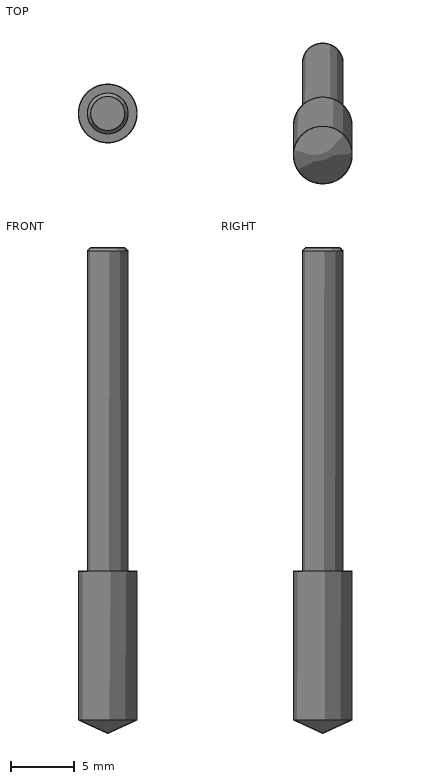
import cadquery as cq

total_length = 38.1
head_diameter = 4.6
head_top = 12.73
point_height = 1.05
shank_diameter = 3.2
shank_chamfer = 0.25


def make_head():
    """Cylindrical head with its conical point down at the origin."""
    radius = head_diameter / 2
    return (
        cq.Workplane("XZ")
        .lineTo(radius, point_height)
        .lineTo(radius, head_top)
        .lineTo(0, head_top)
        .close()
        .revolve(360, (0, 0), (0, 1))
    )


def make_shank():
    """Slim round shank standing on the head, chamfered at its free end."""
    return (
        cq.Workplane("XY", origin=(0, 0, head_top))
        .circle(shank_diameter / 2)
        .extrude(total_length - head_top)
        .faces(">Z")
        .chamfer(shank_chamfer)
    )


head = make_head()
shank = make_shank()

result = cq.Compound.makeCompound([head.val(), shank.val()])